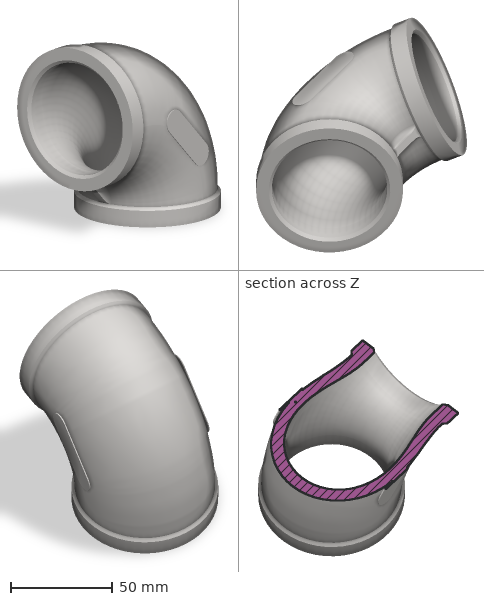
import cadquery as cq
import math


overall_size = 94.25
collar_diameter = 72.5
collar_length = 10.0
collar_chamfer = 1.5
bore_radius = 28.5
mouth_radius = 30.0
mouth_chamfer_depth = 1.5
web_thickness = 4.0
web_fillet = 3.0
pad_width = 12.1
pad_center_distance = 30.0
pad_height = 0.4
pad_thickness = 0.6
pad_shift = 0.7
pad_distance = 49.7

collar_radius = collar_diameter / 2
body_radius = collar_radius - collar_chamfer
bend_radius = overall_size - collar_radius - collar_length
throat_radius = bend_radius - body_radius
bend_angle = 90


def make_bend(radius):
    """Quarter torus about the X axis, from the XY plane round to the XZ plane."""
    return (
        cq.Workplane("XY")
        .center(0, bend_radius)
        .circle(radius)
        .revolve(bend_angle, (0, -bend_radius, 0), (1, -bend_radius, 0))
    )


def turn_profile(points):
    """Turn (radius, Z) points about the axis of the mouth that faces -Z."""
    return (
        cq.Workplane("XZ")
        .polyline(points)
        .close()
        .revolve(360, (0, 0, 0), (0, 1, 0))
        .translate((0, bend_radius, 0))
    )


def on_other_mouth(shape):
    """Half turn about the diagonal of the bend, which swaps the two mouths."""
    return shape.rotate((0, 0, 0), (0, 1, 1), 180)


def make_collar():
    return turn_profile([
        (0, -collar_length),
        (collar_radius, -collar_length),
        (collar_radius, -collar_chamfer),
        (body_radius, 0),
        (0, 0),
    ])


def make_mouth_bore():
    return turn_profile([
        (0, -collar_length),
        (mouth_radius, -collar_length),
        (bore_radius, mouth_chamfer_depth - collar_length),
        (bore_radius, 0),
        (0, 0),
    ])


def make_web():
    """Filleted web in the throat, cut off flat between the two collars."""
    half_web = web_thickness / 2
    fillet_x = half_web + web_fillet
    fillet_reach = body_radius + web_fillet
    fillet_y = bend_radius - math.sqrt(fillet_reach**2 - fillet_x**2)
    foot_angle = math.asin(fillet_x / fillet_reach)
    foot_x = body_radius * math.sin(foot_angle)
    foot_y = bend_radius - body_radius * math.cos(foot_angle)
    middle_angle = (math.pi / 2 - foot_angle) / 2
    middle_x = fillet_x - web_fillet * math.cos(middle_angle)
    middle_y = fillet_y + web_fillet * math.sin(middle_angle)

    root_y = bend_radius - (bore_radius + body_radius) / 2
    tip_y = throat_radius / 2
    web = (
        cq.Workplane("XY")
        .moveTo(-half_web, tip_y)
        .lineTo(half_web, tip_y)
        .lineTo(half_web, fillet_y)
        .threePointArc((middle_x, middle_y), (foot_x, foot_y))
        .lineTo(foot_x, root_y)
        .lineTo(-foot_x, root_y)
        .lineTo(-foot_x, foot_y)
        .threePointArc((-middle_x, middle_y), (-half_web, fillet_y))
        .close()
        .revolve(bend_angle, (0, 0, 0), (1, 0, 0))
    )
    throat_corner = (
        cq.Workplane("YZ")
        .polyline([(0, 0), (throat_radius, 0), (0, throat_radius)])
        .close()
        .extrude(collar_radius, both=True)
    )
    return web.cut(throat_corner)


def make_pad():
    """Thin oval plate lying across the diagonal of the bend, on its +X side."""
    plate_plane = cq.Plane(
        origin=(body_radius + pad_height - pad_thickness, 0, 0),
        xDir=(0, 1, -1),
        normal=(1, 0, 0),
    )
    return (
        cq.Workplane(plate_plane)
        .center(pad_shift, pad_distance)
        .slot2D(pad_center_distance + pad_width, pad_width)
        .extrude(pad_thickness)
    )


collar = make_collar()
pad = make_pad()
mouth_bore = make_mouth_bore()

result = (
    make_bend(body_radius)
    .union(pad)
    .union(pad.mirror("YZ"))
    .union(make_web())
    .union(collar)
    .union(on_other_mouth(collar))
    .cut(make_bend(bore_radius))
    .cut(mouth_bore)
    .cut(on_other_mouth(mouth_bore))
)